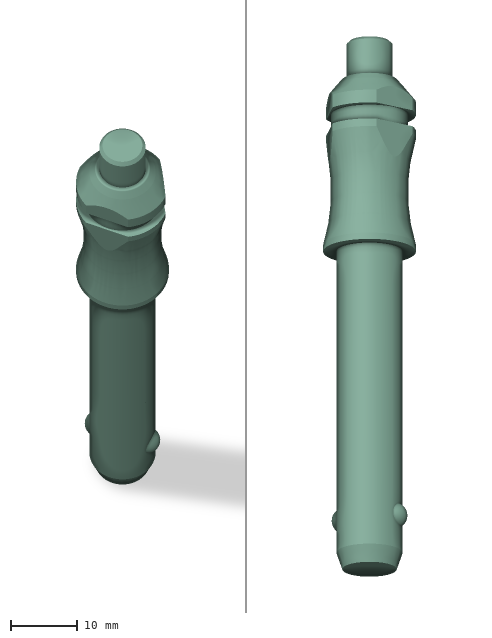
import cadquery as cq

shank_length = 49.8
tip_height = 2.6
ball_to_tip = 8.0
handle_top = 26.9
button_travel = 6.0
rim_height = 1.0
flange_height = 1.0
waist_span = 16.7
upper_collar_height = 1.2
groove_width = 2.5
head_collar_height = 2.0
waist_middle = flange_height + waist_span / 2

shank_radius = 5.0
tip_radius = 4.1
handle_radius = 7.0
waist_radius = 5.8
rim_radius = 4.1
rim_fillet = 0.25
cone_top_radius = 5.0
button_radius = 3.5
button_chamfer = 0.5
ball_radius = 2.0
ball_reach = 6.0

flat_distance = 6.1
flat_count = 3
first_flat_angle = -90.0


def make_handle():
    """Waisted grip with a ring groove and a conical head, turned about Z."""
    waist_top = flange_height + waist_span
    groove_bottom = waist_top + upper_collar_height
    groove_top = groove_bottom + groove_width
    cone_bottom = groove_top + head_collar_height
    outline = (
        cq.Workplane("XZ")
        .lineTo(handle_radius, 0)
        .lineTo(handle_radius, flange_height)
        .threePointArc((waist_radius, waist_middle), (handle_radius, waist_top))
        .lineTo(handle_radius, groove_bottom)
        .lineTo(waist_radius, groove_bottom)
        .lineTo(waist_radius, groove_top)
        .lineTo(handle_radius, groove_top)
        .lineTo(handle_radius, cone_bottom)
        .lineTo(cone_top_radius, handle_top - rim_height)
        .lineTo(rim_radius, handle_top)
        .lineTo(0, handle_top)
        .close()
    )
    handle = outline.revolve(360, (0, 0, 0), (0, 1, 0))
    return handle.faces(">Z").edges().fillet(rim_fillet)


def cut_grip_flats(handle):
    """Cut flats parallel to the axis; they run out in the waist."""
    depth = handle_radius
    width = 2 * handle_radius
    height = handle_top - waist_middle
    for index in range(flat_count):
        angle = first_flat_angle + index * 360 / flat_count
        cutter = (
            cq.Workplane("XY")
            .box(depth, width, height, centered=(False, True, False))
            .translate((flat_distance, 0, waist_middle))
            .rotate((0, 0, 0), (0, 0, 1), angle)
        )
        handle = handle.cut(cutter)
    return handle


def make_shank():
    """Cylindrical shank with a tapered lead-in tip."""
    outline = (
        cq.Workplane("XZ")
        .lineTo(shank_radius, 0)
        .lineTo(shank_radius, tip_height - shank_length)
        .lineTo(tip_radius, -shank_length)
        .lineTo(0, -shank_length)
        .close()
    )
    return outline.revolve(360, (0, 0, 0), (0, 1, 0))


def make_button():
    """Release button standing on top of the handle."""
    return (
        cq.Workplane("XY", origin=(0, 0, handle_top))
        .circle(button_radius)
        .extrude(button_travel)
        .faces(">Z")
        .chamfer(button_chamfer)
    )


def make_ball(side):
    """Locking ball protruding from the shank on the +X or -X side."""
    center = (side * (ball_reach - ball_radius), 0, ball_to_tip - shank_length)
    return cq.Workplane("XY").sphere(ball_radius).translate(center)


result = cut_grip_flats(make_handle())
for piece in (make_shank(), make_button(), make_ball(-1), make_ball(1)):
    result = result.union(piece)